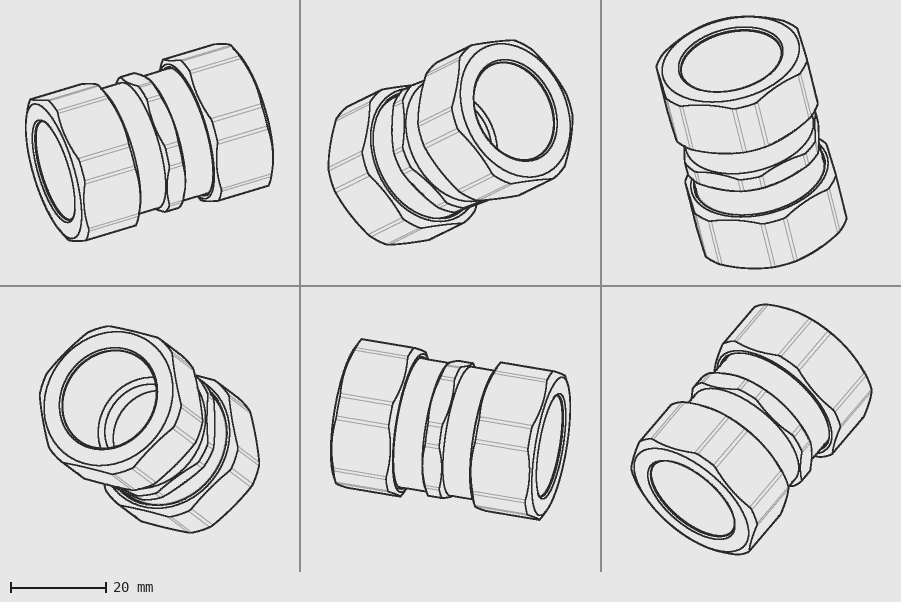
import cadquery as cq
import math

length = 43.9
nut_length = 13.5
collar_length = 4.5

barrel_diameter = 27.5
nut_corner_diameter = 33.0
nut_across_flats = 30.75
nut_face_diameter = 29.4
nut_turn = 10.0
collar_corner_diameter = 30.03
collar_across_flats = 28.0
collar_face_diameter = barrel_diameter
collar_turn = 0.0
corner_blend = 2.0
bevel_angle = 30.0

bore_diameter = 18.5
socket_diameter = 21.5
stop_length = collar_length
mouth_diameter = 22.4
mouth_depth = 0.65
nut_hole_diameter = 21.55

nut_clearance_diameter = 28.1
nut_clearance_depth = 0.88


def disc(diameter, start, thickness):
    """Cylinder along +Y beginning at Y = start."""
    return (
        cq.Workplane("XZ", origin=(0, start, 0))
        .circle(diameter / 2)
        .extrude(-thickness)
    )


def rounded_hexagon(corner_diameter, across_flats, face_diameter, thickness, start, turn):
    """Hexagon with round, blended corners and conical bevels on both end faces."""
    corner_radius = corner_diameter / 2
    face_radius = face_diameter / 2
    bevel_depth = (corner_radius - face_radius) * math.tan(math.radians(bevel_angle))
    hexagon = (
        cq.Workplane("XZ", origin=(0, start, 0))
        .polygon(6, across_flats, circumscribed=True)
        .extrude(-thickness)
        .rotate((0, 0, 0), (0, 1, 0), -turn)
    )
    prism = hexagon.intersect(disc(corner_diameter, start, thickness))
    prism = prism.edges("|Y").fillet(corner_blend)
    end = start + thickness
    envelope = (
        cq.Workplane("XY")
        .moveTo(0, start)
        .lineTo(face_radius, start)
        .lineTo(corner_radius, start + bevel_depth)
        .lineTo(corner_radius, end - bevel_depth)
        .lineTo(face_radius, end)
        .lineTo(0, end)
        .close()
        .revolve(360, (0, 0, 0), (0, 1, 0))
    )
    return prism.intersect(envelope)


def nut(start):
    return rounded_hexagon(
        nut_corner_diameter, nut_across_flats, nut_face_diameter, nut_length, start, nut_turn
    )


def nut_mouth():
    """Hole in the -Y end face of the nut, with a 45 degree lead-in."""
    outer_face = -length / 2
    taper_depth = (mouth_diameter - nut_hole_diameter) / 2
    return (
        cq.Workplane("XY")
        .moveTo(0, outer_face)
        .lineTo(mouth_diameter / 2, outer_face)
        .lineTo(nut_hole_diameter / 2, outer_face + taper_depth)
        .lineTo(nut_hole_diameter / 2, outer_face + mouth_depth)
        .lineTo(0, outer_face + mouth_depth)
        .close()
        .revolve(360, (0, 0, 0), (0, 1, 0))
    )


def clearance_ring():
    """Annular gap around the barrel in the inner face of the nut at the -Y end."""
    start = -length / 2 + nut_length - nut_clearance_depth
    hole = disc(nut_clearance_diameter, start, nut_clearance_depth)
    return hole.cut(disc(barrel_diameter, start, nut_clearance_depth))


collar = rounded_hexagon(
    collar_corner_diameter,
    collar_across_flats,
    collar_face_diameter,
    collar_length,
    -collar_length / 2,
    collar_turn,
)
body = disc(barrel_diameter, -length / 2 + nut_length / 2, length - nut_length).union(collar)
for nut_start in (-length / 2, length / 2 - nut_length):
    body = body.union(nut(nut_start))
gap = clearance_ring()
body = body.cut(gap).cut(gap.mirror("XZ"))

socket_depth = (length - stop_length) / 2
body = body.cut(disc(bore_diameter, -length / 2, length))
mouth = nut_mouth()
for socket_start in (-length / 2, length / 2 - socket_depth):
    body = body.cut(disc(socket_diameter, socket_start, socket_depth))
body = body.cut(mouth).cut(mouth.mirror("XZ"))

result = body